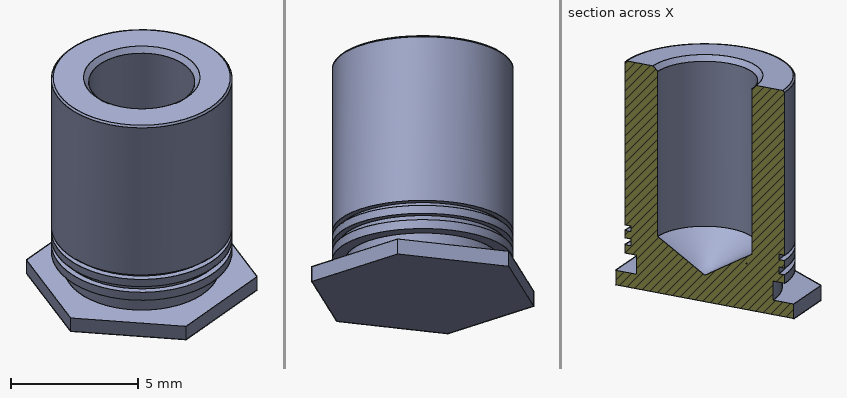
import cadquery as cq
import math

total_height = 9.53
hex_across_corners = 9.15
hex_thickness = 0.63

body_diameter = 7.11
groove_diameter = 6.6
neck_diameter = 6.1
body_chamfer = 0.08

neck_top = 1.41
lower_ring_top = 1.78
lower_groove_top = 2.05
upper_ring_top = 2.38
upper_groove_top = 2.59

bore_diameter = 4.16
bore_mouth_diameter = 4.57
bore_depth = 7.15
drill_point_angle = 118.0


def cylinder(diameter, bottom, top):
    return cq.Workplane("XY").workplane(offset=bottom).circle(diameter / 2).extrude(top - bottom)


def make_shank():
    """Stepped shank: neck, two clinching rings with grooves, and the chamfered body."""
    body = cylinder(body_diameter, upper_groove_top, total_height)
    shank = body.faces(">Z").edges().chamfer(body_chamfer)
    lower_steps = [
        (groove_diameter, upper_ring_top, upper_groove_top),
        (body_diameter, lower_groove_top, upper_ring_top),
        (groove_diameter, lower_ring_top, lower_groove_top),
        (body_diameter, neck_top, lower_ring_top),
        (neck_diameter, hex_thickness, neck_top),
    ]
    for diameter, bottom, top in lower_steps:
        shank = shank.union(cylinder(diameter, bottom, top))
    return shank


def make_bore():
    """Blind drilled hole with a conical bottom and a 45 degree chamfered mouth."""
    bore_radius = bore_diameter / 2
    mouth_radius = bore_mouth_diameter / 2
    mouth_depth = mouth_radius - bore_radius
    bore_bottom = total_height - bore_depth
    point_depth = bore_radius / math.tan(math.radians(drill_point_angle / 2))
    return (
        cq.Workplane("XZ")
        .moveTo(0, total_height)
        .lineTo(mouth_radius, total_height)
        .lineTo(bore_radius, total_height - mouth_depth)
        .lineTo(bore_radius, bore_bottom)
        .lineTo(0, bore_bottom - point_depth)
        .close()
        .revolve(360, (0, 0, 0), (0, 1, 0))
    )


head = cq.Workplane("XY").polygon(6, hex_across_corners).extrude(hex_thickness)

result = head.union(make_shank()).cut(make_bore())